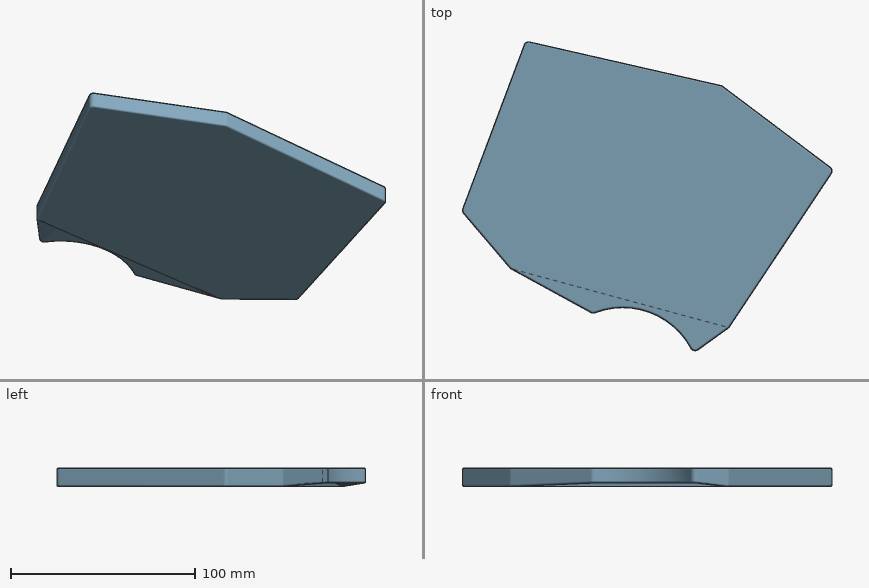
import cadquery as cq
import math

THICKNESS = 10.0
CORNER_RADIUS = 2.6
RIM_RADIUS = 1.0

REAR_LEFT = (-66.1, 84.2)
REAR_RIGHT = (40.3, 60.0)
RIGHT = (101.0, 14.2)
FRONT_RIGHT = (44.0, -71.4)
NOTCH_RIGHT = (24.9, -85.2)
NOTCH_LEFT = (-29.7, -63.7)
FRONT_LEFT = (-74.4, -39.3)
LEFT = (-100.8, -8.2)
OUTLINE_CORNERS = [NOTCH_LEFT, FRONT_LEFT, LEFT, REAR_LEFT, REAR_RIGHT, RIGHT, FRONT_RIGHT, NOTCH_RIGHT]

NOTCH_RADIUS = 42.0

RELIEF_DEPTH = 2.0
RAMP_INSET = 1.6

TOUCHING = 0.0002

REAR_REACH = 20.0
FRONT_REACH = 40.0


def make_blank():
    """Extrude the notched outline and round its upright corners."""
    outline = (
        cq.Workplane("XY")
        .polyline(OUTLINE_CORNERS)
        .radiusArc(NOTCH_LEFT, -NOTCH_RADIUS)
        .close()
    )
    return outline.extrude(THICKNESS).edges("|Z").fillet(CORNER_RADIUS)


def relief_plane():
    """Return the upright plane of the relief's rear wall, running between the two front corners."""
    run = cq.Vector(*FRONT_RIGHT) - cq.Vector(*FRONT_LEFT)
    toward_front = cq.Vector(run.y, -run.x)
    return cq.Plane(origin=(*FRONT_LEFT, 0), xDir=run, normal=toward_front)


def make_roof_prism():
    """Make the space under the relief's roof, which ramps up at both ends and is level over the notch."""
    plane = relief_plane()

    def along_wall(corner):
        return plane.toLocalCoords(cq.Vector(*corner)).x

    profile = [
        (along_wall(FRONT_LEFT) + RAMP_INSET, 0),
        (along_wall(NOTCH_LEFT), RELIEF_DEPTH),
        (along_wall(NOTCH_RIGHT), RELIEF_DEPTH),
        (along_wall(FRONT_RIGHT) - RAMP_INSET, 0),
    ]
    start = cq.Workplane(plane).workplane(offset=-REAR_REACH)
    return start.polyline(profile).close().extrude(REAR_REACH + FRONT_REACH)


def make_front_zone():
    """Make a block holding everything in front of the relief's rear wall."""
    wall_length = math.dist(FRONT_LEFT, FRONT_RIGHT)
    wall = cq.Workplane(relief_plane()).center(wall_length / 2, 0)
    return wall.rect(2 * wall_length, 4 * THICKNESS).extrude(FRONT_REACH)


def round_bottom_rim(plate, sides):
    """Round the lower edges that lie on the upright sides of the blank."""
    bottom_rim = []
    for edge in plate.edges().vals():
        middle = edge.positionAt(0.5)
        on_side = cq.Vertex.makeVertex(*middle.toTuple()).distance(sides) < TOUCHING
        if on_side and middle.z < THICKNESS / 3:
            bottom_rim.append(edge)
    return plate.newObject(bottom_rim).fillet(RIM_RADIUS)


blank = make_blank()
blank_sides = cq.Compound.makeCompound(blank.faces("not |Z").vals())
plate = blank.faces(">Z").edges().fillet(RIM_RADIUS)

front_zone = make_front_zone()
rear_part = round_bottom_rim(plate, blank_sides).cut(front_zone)
front_part = round_bottom_rim(plate.cut(make_roof_prism()), blank_sides).intersect(front_zone)
result = rear_part.union(front_part)